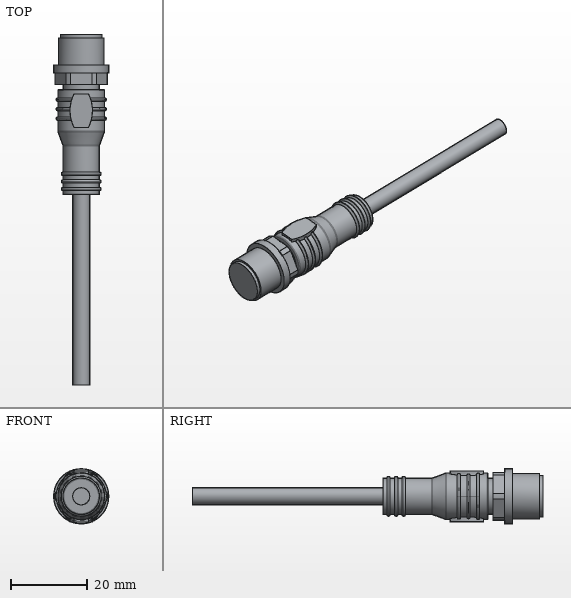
import cadquery as cq
import math

TOTAL_LENGTH = 92.1
CABLE_LENGTH = 50.0

TIP_RADIUS = 5.5
TIP_LENGTH = 0.9
BARREL_RADIUS = 6.0
FLANGE_RADIUS = 14.5 / 2
FLANGE_START = 8.0
FLANGE_END = 10.1
HEX_SIDES = 6
HEX_ACROSS_FLATS = 12.6
HEX_CORNER_RADIUS = 6.9
HEX_END = 13.2
NECK_RADIUS = 4.75

GRIP_RADIUS = 6.15
GRIP_START = 14.5
TAPER_START = 25.5
TAPER_END = 29.15
SLEEVE_RADIUS = 4.8
SLEEVE_END = TOTAL_LENGTH - CABLE_LENGTH
CABLE_RADIUS = 2.25
EDGE_FILLET = 0.25
TAPER_FILLET = 0.8

RIDGE_COUNT = 3
RIDGE_RADIUS = 0.45
GRIP_RIDGE_FIRST = 17.1
GRIP_RIDGE_PITCH = 2.5
SLEEVE_RIDGE_FIRST = 36.6
SLEEVE_RIDGE_PITCH = 2.0

PAD_START = 15.6
PAD_END = 24.4
PAD_WIDTH = 5.9
PAD_END_WIDTH = 3.8
PAD_HEIGHT = 6.7


def cylinder(radius, start, end):
    """Cylinder around the Y axis between two stations."""
    plane = cq.Workplane("XZ", origin=(0, -start, 0))
    return plane.circle(radius).extrude(end - start)


def hexagon():
    """Hexagon with flats above and below and its corners turned round."""
    corner_diameter = HEX_ACROSS_FLATS / math.cos(math.pi / HEX_SIDES)
    plane = cq.Workplane("XZ", origin=(0, -FLANGE_END, 0))
    prism = plane.polygon(HEX_SIDES, corner_diameter).extrude(HEX_END - FLANGE_END)
    return prism.intersect(cylinder(HEX_CORNER_RADIUS, FLANGE_END, HEX_END))


def moulded_body():
    """Grip, taper and sleeve turned as one body, with rounded edges."""
    profile = (
        cq.Workplane("XY")
        .moveTo(0, -GRIP_START)
        .lineTo(GRIP_RADIUS, -GRIP_START)
        .lineTo(GRIP_RADIUS, -TAPER_START)
        .lineTo(SLEEVE_RADIUS, -TAPER_END)
        .lineTo(SLEEVE_RADIUS, -SLEEVE_END)
        .lineTo(0, -SLEEVE_END)
        .close()
    )
    body = profile.revolve(360, (0, 0, 0), (0, 1, 0))
    body = body.faces(">Y or <Y").edges().fillet(EDGE_FILLET)
    taper_edges = body.faces("%CONE").edges("%CIRCLE")
    return taper_edges.fillet(TAPER_FILLET)


def ridges(body_radius, first, pitch):
    """Evenly spaced round-topped rings standing on a body of the given radius."""
    rings = cq.Workplane("XY")
    for index in range(RIDGE_COUNT):
        ring = (
            cq.Workplane("XY")
            .center(body_radius, -(first + index * pitch))
            .circle(RIDGE_RADIUS)
            .revolve(360, (-body_radius, 0, 0), (-body_radius, 1, 0))
        )
        rings = rings.add(ring)
    return rings.combine()


def label_pads():
    """Flat pad with bowed sides, running through the grip from top to bottom."""
    middle = (PAD_START + PAD_END) / 2
    half_length = (PAD_END - PAD_START) / 2
    half_width = PAD_WIDTH / 2
    half_end = PAD_END_WIDTH / 2
    outline = (
        cq.Workplane("XY", origin=(0, -middle, 0))
        .moveTo(-half_end, half_length)
        .lineTo(half_end, half_length)
        .threePointArc((half_width, 0), (half_end, -half_length))
        .lineTo(-half_end, -half_length)
        .threePointArc((-half_width, 0), (-half_end, half_length))
        .close()
    )
    return outline.extrude(PAD_HEIGHT, both=True)


result = (
    cylinder(TIP_RADIUS, 0, TIP_LENGTH)
    .union(cylinder(BARREL_RADIUS, TIP_LENGTH, FLANGE_START))
    .union(cylinder(FLANGE_RADIUS, FLANGE_START, FLANGE_END))
    .union(hexagon())
    .union(cylinder(NECK_RADIUS, HEX_END, GRIP_START))
    .union(moulded_body())
    .union(ridges(GRIP_RADIUS, GRIP_RIDGE_FIRST, GRIP_RIDGE_PITCH))
    .union(ridges(SLEEVE_RADIUS, SLEEVE_RIDGE_FIRST, SLEEVE_RIDGE_PITCH))
    .union(label_pads())
    .union(cylinder(CABLE_RADIUS, SLEEVE_END, TOTAL_LENGTH))
)